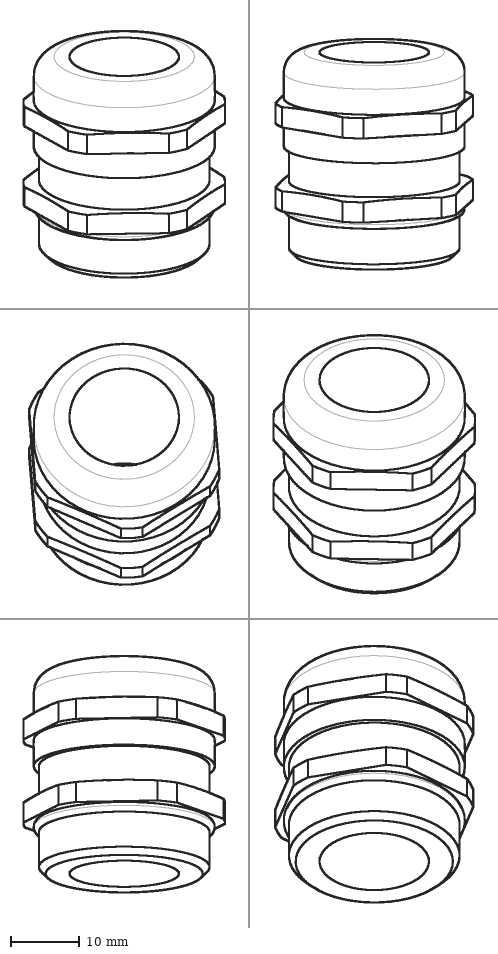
import cadquery as cq
import math

total_height = 30.2
bore_radius = 8.0
body_radius = 12.5
cap_radius = 13.25
cap_fillet = 3.0
entry_chamfer = 1.0

ring_tube_radius = cap_radius - body_radius
ring_center_drop = 0.57

across_flats = 27.0
corner_radius = 14.77
hex_rim_height = 3.02
hex_bevel_rise = 0.35
hex_height = hex_rim_height + hex_bevel_rise
lower_hex_bottom = 7.6
upper_hex_bottom = 20.15

cap_bottom = 16.2


def cylinder(radius, bottom, top):
    """Vertical cylinder between two heights."""
    return cq.Workplane("XY").workplane(offset=bottom).circle(radius).extrude(top - bottom)


def hexagon(bottom):
    """Hexagonal collar with turned corners and a shallow cone on its top face."""
    prism = (
        cq.Workplane("XY")
        .workplane(offset=bottom)
        .polygon(6, across_flats / math.cos(math.pi / 6))
        .extrude(hex_height)
    )
    top = bottom + hex_height
    envelope = (
        cq.Workplane("XZ")
        .moveTo(0, bottom)
        .lineTo(corner_radius, bottom)
        .lineTo(corner_radius, bottom + hex_rim_height)
        .lineTo(body_radius, top)
        .lineTo(0, top)
        .close()
        .revolve(360, (0, 0, 0), (0, 1, 0))
    )
    return prism.intersect(envelope)


body = cylinder(body_radius, 0, cap_bottom).faces("<Z").chamfer(entry_chamfer)

ring = (
    cq.Workplane("XZ")
    .center(body_radius, lower_hex_bottom - ring_center_drop)
    .circle(ring_tube_radius)
    .revolve(360, (-body_radius, 0, 0), (-body_radius, 1, 0))
)

cap = cylinder(cap_radius, cap_bottom, total_height).faces(">Z").edges().fillet(cap_fillet)

result = (
    body.union(ring)
    .union(cap)
    .union(hexagon(lower_hex_bottom))
    .union(hexagon(upper_hex_bottom))
    .cut(cylinder(bore_radius, 0, total_height))
)